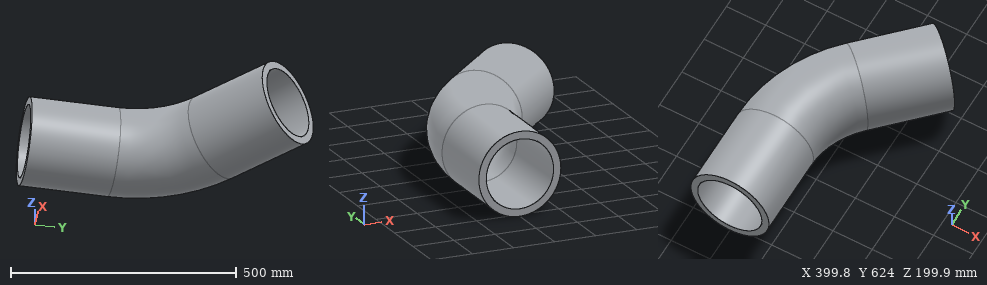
import cadquery as cq
import math

overall_length = 624.0
bend_angle = 45.0
wall_thickness = 18.0

sin_bend = math.sin(math.radians(bend_angle))
cos_bend = math.cos(math.radians(bend_angle))

leg_ratio = 1.0
bend_ratio = 1.5

length_ratio = leg_ratio + (bend_ratio + leg_ratio + 0.5) * sin_bend
outer_diameter = overall_length / length_ratio
outer_radius = outer_diameter / 2
inner_radius = outer_radius - wall_thickness
leg_length = leg_ratio * outer_diameter
bend_radius = bend_ratio * outer_diameter

bend_start = (0, leg_length)
half_angle = math.radians(bend_angle / 2)
bend_middle = (
    bend_radius * (1 - math.cos(half_angle)),
    leg_length + bend_radius * math.sin(half_angle),
)
bend_end = (
    bend_radius * (1 - cos_bend),
    leg_length + bend_radius * sin_bend,
)
far_end = (
    bend_end[0] + leg_length * sin_bend,
    bend_end[1] + leg_length * cos_bend,
)

centreline = (
    cq.Workplane("XY")
    .lineTo(*bend_start)
    .threePointArc(bend_middle, bend_end)
    .lineTo(*far_end)
)

result = (
    cq.Workplane("XZ")
    .circle(outer_radius)
    .circle(inner_radius)
    .sweep(centreline)
)